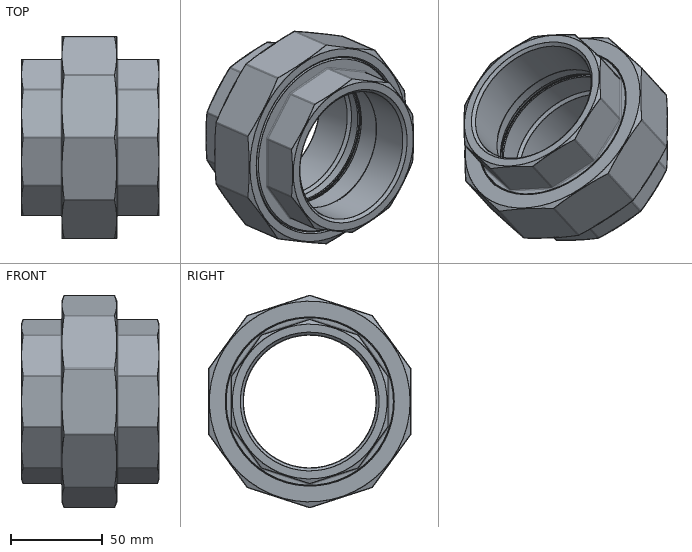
import cadquery as cq
import math

TOTAL_LENGTH = 75.0
NUT_LENGTH = 30.0
MALE_HEX_LENGTH = 22.0

MALE_END = -TOTAL_LENGTH / 2
TAIL_END = TOTAL_LENGTH / 2
NUT_START = MALE_END + MALE_HEX_LENGTH
NUT_END = NUT_START + NUT_LENGTH

SIDES = 10
NUT_FLATS = 110.0
BODY_FLATS = 85.0
CORNER_RADIUS = 1.0
ROOT_FILLET = 0.5
SELECT_MARGIN = 0.1
BEVEL_INSET = 0.4
BEVEL_ANGLE = math.radians(22)
CUTTER_CLEARANCE = 1.0

BORE_DIA = 72.22
BORE_MOUTH_DIA = 75.5
MIDDLE_BORE_DIA = 75.5
MALE_THREAD_LENGTH = 24.5
TAIL_THREAD_LENGTH = 25.5
INNER_CHAMFER = 0.5

THREAD_MAJOR_DIA = 100.33
THREAD_MINOR_DIA = 97.37
THREAD_DIA = (THREAD_MAJOR_DIA + THREAD_MINOR_DIA) / 2
THREAD_CHAMFER = (THREAD_MAJOR_DIA - THREAD_DIA) / 2
MOUTH_TAPER = 45.0

TAIL_NECK_DIA = 91.0
NUT_LIP_DIA = 92.0
TAIL_COLLAR_DIA = 96.0
NUT_RECESS_DIA = 96.5
NUT_LIP_LENGTH = 5.0
COLLAR_END = NUT_END - NUT_LIP_LENGTH

SEAL_START = 2.5
SEAL_THICKNESS = 2.0
SEAL_BORE_DIA = 78.0
SEAL_END = SEAL_START + SEAL_THICKNESS


def cylinder(diameter, start, end):
    return cq.Workplane("YZ").workplane(offset=start).circle(diameter / 2).extrude(end - start)


def corner_diameter(flats):
    return flats / math.cos(math.pi / SIDES)


def bevel_cutter(flats, tip, inward):
    """Ring that turns the corners of a decagon down to a cone at its end face."""
    inner = flats / 2 - BEVEL_INSET
    outer = corner_diameter(flats) / 2 + CUTTER_CLEARANCE
    depth = (outer - inner) * math.tan(BEVEL_ANGLE)
    return (
        cq.Workplane("XY")
        .polyline([(tip, inner), (tip, outer), (tip + inward * depth, outer)])
        .close()
        .revolve(360, (0, 0, 0), (1, 0, 0))
    )


def decagon(flats, start, end):
    """Prism with flats facing +Y and -Y, corners facing +Z and -Z, and rounded edges."""
    return (
        cq.Workplane("YZ")
        .workplane(offset=start)
        .transformed(rotate=(0, 0, 90))
        .polygon(SIDES, corner_diameter(flats))
        .extrude(end - start)
        .edges("|X")
        .fillet(CORNER_RADIUS)
    )


def pipe_end(tip, root, collar):
    """Decagon with a bevelled tip, blended into its collar with a root fillet."""
    inward = math.copysign(1, root - tip)
    prism = decagon(BODY_FLATS, min(tip, root), max(tip, root))
    prism = prism.union(collar)
    reach = corner_diameter(BODY_FLATS) / 2
    root_edges = cq.selectors.BoxSelector(
        (root - SELECT_MARGIN, -reach, -reach),
        (root + SELECT_MARGIN, reach, reach),
        boundingbox=True,
    )
    prism = prism.edges(root_edges).fillet(ROOT_FILLET)
    return prism.cut(bevel_cutter(BODY_FLATS, tip, inward))


def bore(tip, inner_end, thread_length):
    """Bore cutter: chamfered mouth, thread, cone out to a wider passage, chamfered inner rim."""
    inward = math.copysign(1, inner_end - tip)
    mouth_depth = (BORE_MOUTH_DIA - BORE_DIA) / 2
    return (
        cq.Workplane("XY")
        .moveTo(tip, 0)
        .lineTo(tip, BORE_MOUTH_DIA / 2)
        .lineTo(tip + inward * mouth_depth, BORE_DIA / 2)
        .lineTo(tip + inward * thread_length, BORE_DIA / 2)
        .lineTo(tip + inward * (thread_length + mouth_depth), MIDDLE_BORE_DIA / 2)
        .lineTo(inner_end - inward * INNER_CHAMFER, MIDDLE_BORE_DIA / 2)
        .lineTo(inner_end, MIDDLE_BORE_DIA / 2 + INNER_CHAMFER)
        .lineTo(inner_end, 0)
        .close()
        .revolve(360, (0, 0, 0), (1, 0, 0))
    )


def make_male_end():
    collar = cylinder(THREAD_DIA, NUT_START, SEAL_START).faces("<X").chamfer(THREAD_CHAMFER)
    return pipe_end(MALE_END, NUT_START, collar).cut(bore(MALE_END, SEAL_START, MALE_THREAD_LENGTH))


def make_tail_end():
    collar = cylinder(TAIL_NECK_DIA, SEAL_END, NUT_END)
    collar = collar.union(cylinder(TAIL_COLLAR_DIA, SEAL_END, COLLAR_END))
    return pipe_end(TAIL_END, NUT_END, collar).cut(bore(TAIL_END, SEAL_END, TAIL_THREAD_LENGTH))


def make_seal():
    return cylinder(TAIL_COLLAR_DIA, SEAL_START, SEAL_END).cut(
        cylinder(SEAL_BORE_DIA, SEAL_START, SEAL_END)
    )


def make_nut():
    nut = decagon(NUT_FLATS, NUT_START, NUT_END)
    nut = nut.cut(bevel_cutter(NUT_FLATS, NUT_START, 1)).cut(bevel_cutter(NUT_FLATS, NUT_END, -1))
    nut = nut.cut(cylinder(NUT_LIP_DIA, NUT_START, NUT_END))
    nut = nut.cut(cylinder(NUT_RECESS_DIA, SEAL_START, COLLAR_END))
    nut = nut.cut(cylinder(THREAD_DIA, NUT_START, SEAL_START))
    nut_mouth = cq.Workplane("YZ").workplane(offset=NUT_START).circle(THREAD_MAJOR_DIA / 2)
    return nut.cut(nut_mouth.extrude(THREAD_CHAMFER, taper=MOUTH_TAPER))


male_end = make_male_end()
tail_end = make_tail_end()
seal = make_seal()
nut = make_nut()

result = cq.Compound.makeCompound([male_end.val(), tail_end.val(), seal.val(), nut.val()])